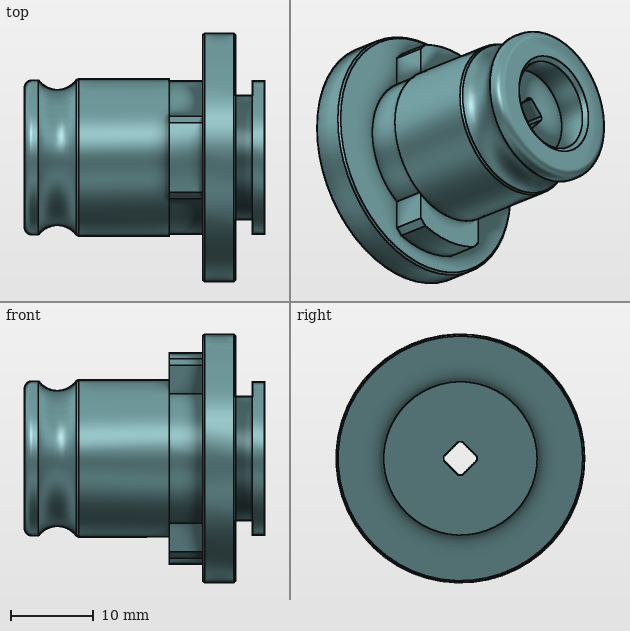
import cadquery as cq

GROOVE_START = 1.7
GROOVE_END = 6.27
BODY_START = 6.57
BODY_END = 17.5
FLANGE_START = 21.5
FLANGE_END = 25.5
NECK_END = 27.5
LENGTH = 29.0

TIP_RADIUS = 18.7 / 2
BODY_RADIUS = 19.0 / 2
COLLAR_RADIUS = 18.5 / 2
FLANGE_RADIUS = 30.0 / 2
NECK_RADIUS = 15.0 / 2
GROOVE_BOTTOM_RADIUS = 8.2

TIP_ROUND = 1.0
FLANGE_CHAMFER = 0.25

LUG_RADIUS = 12.75
LUG_WIDTH = 10.0
LUG_CHAMFER = 1.5

BORE_RADIUS = 11.0 / 2
BORE_DEPTH = 4.0
BORE_CHAMFER = 0.5
SQUARE_SIDE = 3.15
SQUARE_CORNER_DIAMETER = 4.0


def cylinder(start, end, radius):
    """Cylinder on the X axis between two axial positions."""
    return cq.Workplane("YZ", origin=(start, 0, 0)).circle(radius).extrude(end - start)


def turned_nose():
    """Rounded tip, concave groove and body, revolved about X."""
    groove_middle = (GROOVE_START + GROOVE_END) / 2
    round_center = (TIP_ROUND, TIP_RADIUS - TIP_ROUND)
    round_middle = (
        round_center[0] - TIP_ROUND * 0.5**0.5,
        round_center[1] + TIP_ROUND * 0.5**0.5,
    )
    return (
        cq.Workplane("XY")
        .lineTo(0, TIP_RADIUS - TIP_ROUND)
        .threePointArc(round_middle, (TIP_ROUND, TIP_RADIUS))
        .lineTo(GROOVE_START, TIP_RADIUS)
        .threePointArc((groove_middle, GROOVE_BOTTOM_RADIUS), (GROOVE_END, TIP_RADIUS))
        .lineTo(BODY_START, BODY_RADIUS)
        .lineTo(BODY_END, BODY_RADIUS)
        .lineTo(BODY_END, 0)
        .close()
        .revolve(360, (0, 0, 0), (1, 0, 0))
    )


def lugs():
    """Two opposite lugs with bevelled corners and round tops, joined through the axis."""
    bar = cq.Workplane("YZ", origin=(BODY_END, 0, 0)).rect(LUG_WIDTH, 2 * LUG_RADIUS)
    bar = bar.extrude(FLANGE_START - BODY_END).edges("|X").chamfer(LUG_CHAMFER)
    return bar.intersect(cylinder(BODY_END, FLANGE_START, LUG_RADIUS))


def square_hole():
    """Square standing on its corner, with the corners cut to a circle."""
    square = cq.Workplane("YZ").rect(SQUARE_SIDE, SQUARE_SIDE).extrude(LENGTH)
    square = square.rotate((0, 0, 0), (1, 0, 0), 45)
    return square.intersect(cylinder(0, LENGTH, SQUARE_CORNER_DIAMETER / 2))


flange = cylinder(FLANGE_START, FLANGE_END, FLANGE_RADIUS).edges().chamfer(FLANGE_CHAMFER)
bore = cylinder(0, BORE_DEPTH, BORE_RADIUS)

result = (
    turned_nose()
    .union(cylinder(BODY_END, FLANGE_START, COLLAR_RADIUS))
    .union(lugs())
    .union(flange)
    .union(cylinder(FLANGE_END, NECK_END, NECK_RADIUS))
    .union(cylinder(NECK_END, LENGTH, COLLAR_RADIUS))
    .cut(bore)
)
bore_mouth = cq.selectors.RadiusNthSelector(0)
result = result.faces("<X").edges(bore_mouth).chamfer(BORE_CHAMFER)
result = result.cut(square_hole())